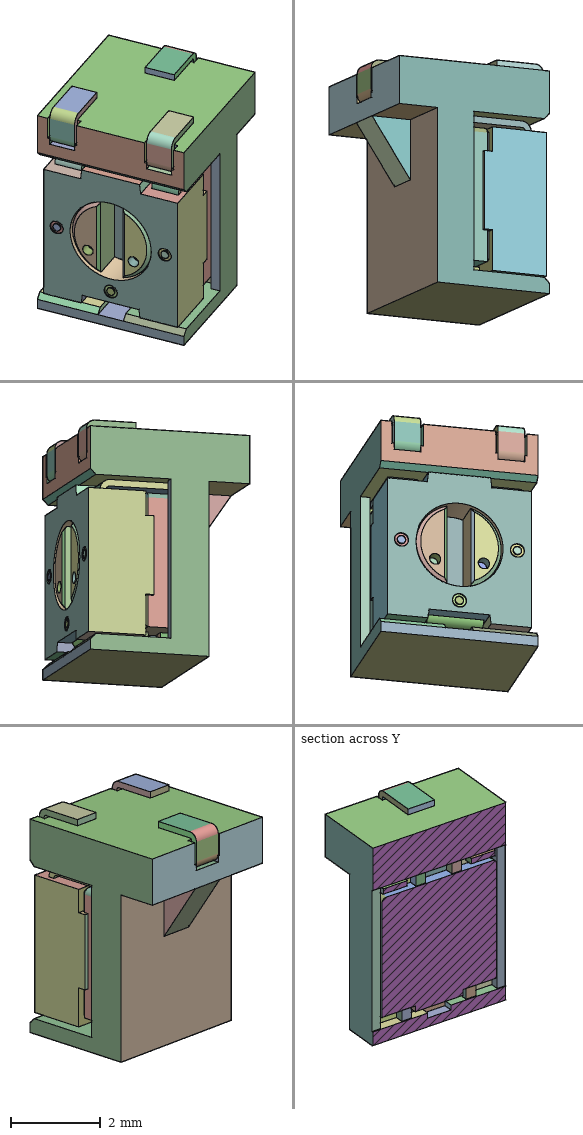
import cadquery as cq
import math


width = 3.61
depth = 3.71
height = 5.28

strip_thickness = 0.15
pin_bend = 0.2

top_block_top = 5.08
top_block_bottom = 3.98
base_top = 0.365
column_front = 1.875
column_back = 2.765
lip_chamfer = 0.125
rib_width = 0.8
rib_bottom = 2.61
base_groove_width = 0.63
base_groove_floor = base_top - lip_chamfer
recess_width = 3.17
recess_depth = 0.21
rail_width = 0.265
upper_rail_x = 0.485
lower_rail_x = 0.87

pin_length = 1.155
front_pin_x = 1.195
front_pin_width = 0.61
front_notch_width = 0.72
back_pin_width = 0.72
back_notch_width = 0.8
pin_bottom = 4.41
notch_bottom = pin_bottom + strip_thickness
notch_depth = 0.21

cover_width = 3.305
cover_depth = 1.335
cover_bottom = 0.435
cover_top = 3.705
lug_depth = 1.6
lug_draft = 0.025
tab_top = 3.945
tab_width = 1.425
notch_ceiling = 0.645
bottom_notch_width = 1.395
foot_inner_x = 0.74
foot_outer_x = 1.005
hook_bottom = 1.36
hook_top = 3.15
hook_back = 1.53
hook_thickness = 0.155
carrier_width = 3.115
carrier_corner = 0.125
carrier_edge = 0.085

rotor_z = 2.26
rotor_radius = 0.975
rotor_gap = 0.02
rotor_chamfer = 0.085
slot_width = 0.55
slot_depth = 0.79
rotor_gap_depth = 0.845
slot_bevel_width = 0.07
slot_bevel_depth = 0.055
dimple_x = 0.56
dimple_drop = 0.39
dimple_radius = 0.125
dimple_depth = 0.265
mark_circle = 1.33
mark_outer = 0.16
mark_inner = 0.095
mark_depth = 0.03

clip_front = 0.31
clip_bend = 0.24
clip_leg = 0.315
top_clip_x = front_pin_x
top_clip_width = 0.655
bottom_clip_width = 1.29
bottom_clip_low = 0.495


def block(x_centre, size_x, y_min, y_max, z_min, z_max):
    """Axis-aligned block centred on x_centre."""
    solid = cq.Workplane("XY").box(size_x, y_max - y_min, z_max - z_min, centered=(True, False, False))
    return solid.translate((x_centre, y_min, z_min))


def side_profile(points, x_centre, size_x):
    """Closed (y, z) outline extruded symmetrically along X."""
    solid = cq.Workplane("YZ").polyline(points).close().extrude(size_x / 2, both=True)
    return solid.translate((x_centre, 0, 0))


def front_profile(points, y_min, y_max):
    """Closed (x, z) outline extruded from y_min to y_max."""
    return cq.Workplane("XZ", origin=(0, y_min, 0)).polyline(points).close().extrude(y_min - y_max)


def front_cylinder(x, z, radius, length):
    """Cylinder running back from the front face."""
    return cq.Workplane("XZ").center(x, z).circle(radius).extrude(-length)


def bent_strip(x_centre, size_x, y_front, y_end, z_flat, z_end, outer_bend):
    """L-shaped strip: a flat leg with outer side z_flat and a leg at y_front running on to z_end."""
    turn = math.copysign(1, z_end - z_flat)
    inner_bend = outer_bend - strip_thickness
    y_bend = y_front + outer_bend
    z_bend = z_flat + turn * outer_bend
    y_inside = y_front + strip_thickness
    z_inside = z_flat + turn * strip_thickness

    def mid_bend(radius):
        reach = radius * math.sqrt(0.5)
        return (y_bend - reach, z_bend - turn * reach)

    outline = (
        cq.Workplane("YZ")
        .moveTo(y_end, z_flat)
        .lineTo(y_bend, z_flat)
        .threePointArc(mid_bend(outer_bend), (y_front, z_bend))
        .lineTo(y_front, z_end)
        .lineTo(y_inside, z_end)
        .lineTo(y_inside, z_bend)
        .threePointArc(mid_bend(inner_bend), (y_bend, z_inside))
        .lineTo(y_end, z_inside)
        .close()
    )
    return outline.extrude(size_x / 2, both=True).translate((x_centre, 0, 0))


def pin(x_centre, size_x):
    """C-shaped pin: solder leg over the top, down the face and back into the top block."""
    z_middle = (height + pin_bottom) / 2
    upper = bent_strip(x_centre, size_x, 0, pin_length, height, z_middle, pin_bend)
    lower = bent_strip(x_centre, size_x, 0, pin_length, pin_bottom, z_middle, pin_bend)
    return upper.union(lower)


def pin_pocket(x_centre, notch_width, pin_width):
    """Clearance notch around a pin, with a pin-wide pocket under it for the lower bend."""
    notch = block(x_centre, notch_width, 0, notch_depth, notch_bottom, top_block_top)
    lower = block(x_centre, pin_width, 0, notch_depth, pin_bottom, notch_bottom)
    return notch.union(lower)


def to_back(solid):
    """Mirror a front feature to the back face."""
    return solid.mirror("XZ", (0, depth / 2, 0))


def make_housing():
    outline = [
        (0, 0),
        (column_back, 0),
        (column_back, top_block_bottom),
        (depth, top_block_bottom),
        (depth, top_block_top),
        (0, top_block_top),
        (0, top_block_bottom + lip_chamfer),
        (lip_chamfer, top_block_bottom),
        (column_front, top_block_bottom),
        (column_front, base_top),
        (lip_chamfer, base_top),
        (0, base_top - lip_chamfer),
    ]
    housing = side_profile(outline, 0, width)
    rib = [(column_back, top_block_bottom), (depth, top_block_bottom), (column_back, rib_bottom)]
    housing = housing.union(side_profile(rib, 0, rib_width))

    recess_back = column_front + recess_depth
    housing = housing.cut(block(0, base_groove_width, 0, recess_back, base_groove_floor, base_top))

    housing = housing.cut(block(0, recess_width, column_front, recess_back, base_top, top_block_bottom))
    for side in (-1, 1):
        lower = block(side * lower_rail_x, rail_width, column_front, recess_back, base_top, rotor_z)
        upper = block(side * upper_rail_x, rail_width, column_front, recess_back, rotor_z, top_block_bottom)
        housing = housing.union(lower).union(upper)
    return housing


def add_pins(housing):
    for x in (-front_pin_x, front_pin_x):
        housing = housing.cut(pin_pocket(x, front_notch_width, front_pin_width))
        housing = housing.union(pin(x, front_pin_width))
    housing = housing.cut(to_back(pin_pocket(0, back_notch_width, back_pin_width)))
    return housing.union(to_back(pin(0, back_pin_width)))


def make_cover():
    cover = block(0, cover_width, 0, cover_depth, cover_bottom, cover_top)

    tab_half = tab_width / 2
    tab = [
        (-tab_half - lug_draft, cover_top),
        (-tab_half, tab_top),
        (tab_half, tab_top),
        (tab_half + lug_draft, cover_top),
    ]
    cover = cover.union(front_profile(tab, 0, lug_depth))

    notch_half = bottom_notch_width / 2
    notch = [
        (-notch_half - lug_draft, cover_bottom),
        (-notch_half, notch_ceiling),
        (notch_half, notch_ceiling),
        (notch_half + lug_draft, cover_bottom),
    ]
    cover = cover.cut(front_profile(notch, 0, cover_depth))

    for side in (-1, 1):
        foot = [
            (side * foot_inner_x, cover_bottom),
            (side * foot_inner_x, notch_ceiling),
            (side * (foot_outer_x - lug_draft), notch_ceiling),
            (side * foot_outer_x, cover_bottom),
        ]
        cover = cover.union(front_profile(foot, cover_depth, lug_depth))
        hook_x = side * (cover_width - hook_thickness) / 2
        cover = cover.union(block(hook_x, hook_thickness, cover_depth, hook_back, hook_bottom, hook_top))
    return cover


def make_carrier():
    """Plate between cover and column, with rounded top corners and bevelled front edges."""
    carrier = block(0, carrier_width, cover_depth, column_front + recess_depth, notch_ceiling, cover_top)
    carrier = carrier.edges("|Y and >Z").fillet(carrier_corner)
    return carrier.faces("<Y").edges().chamfer(carrier_edge)


def cut_rotor(cover):
    """Cut the slotted, chamfered rotor face and its dimples into the front of the cover."""
    bore = front_cylinder(0, rotor_z, rotor_radius + rotor_gap, rotor_gap_depth)
    face = front_cylinder(0, rotor_z, rotor_radius, rotor_gap_depth)
    face = face.faces("<Y").chamfer(rotor_chamfer)
    cover = cover.cut(bore.cut(face))

    half = slot_width / 2
    slot = (
        cq.Workplane("XY")
        .polyline([
            (-half - slot_bevel_width, 0),
            (half + slot_bevel_width, 0),
            (half, slot_bevel_depth),
            (half, slot_depth),
            (-half, slot_depth),
            (-half, slot_bevel_depth),
        ])
        .close()
        .extrude(height)
    )
    cover = cover.cut(slot.intersect(front_cylinder(0, rotor_z, rotor_radius + rotor_gap, slot_depth)))

    for x in (-dimple_x, dimple_x):
        cover = cover.cut(front_cylinder(x, rotor_z - dimple_drop, dimple_radius, dimple_depth))
    return cover


def cut_marks(cover):
    """Engraved position rings left, right and below the rotor."""
    for x, z in ((-mark_circle, 0), (mark_circle, 0), (0, -mark_circle)):
        ring = front_cylinder(x, rotor_z + z, mark_outer, mark_depth)
        ring = ring.cut(front_cylinder(x, rotor_z + z, mark_inner, mark_depth))
        cover = cover.cut(ring)
    return cover


def make_clips():
    clip_back = column_front + recess_depth
    bottom_end = bottom_clip_low + clip_leg
    top_end = tab_top - clip_leg
    clips = bent_strip(
        0, bottom_clip_width, clip_front, clip_back, bottom_clip_low, bottom_end, clip_bend
    )
    for x in (-top_clip_x, top_clip_x):
        clips = clips.union(
            bent_strip(x, top_clip_width, clip_front, clip_back, tab_top, top_end, clip_bend)
        )
    return clips


trimmer = cut_marks(cut_rotor(make_cover())).union(make_carrier())
result = add_pins(make_housing()).union(trimmer).union(make_clips())